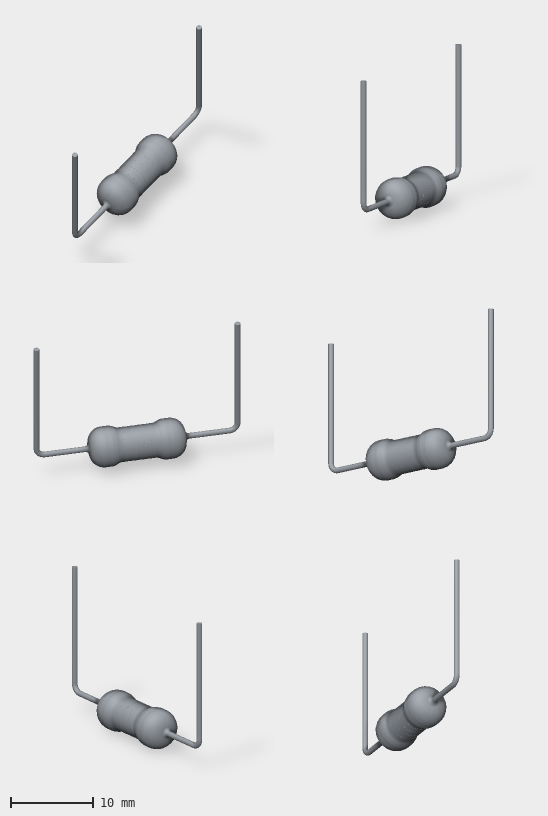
import cadquery as cq
import math

overall_length = 25.7
overall_height = 18.6
lead_radius = 0.7 / 2
bend_radius = 1.05

crown_radius = 5.0 / 2
neck_radius = 4.25 / 2
band_radius = 4.27 / 2
neck_end = 1.98
crown_start = 3.42
crown_end = 4.21
cap_end = 6.0
flare_radius = 0.5

band_count = 4
band_width = 2 * neck_end / (2 * band_count - 1)

flare_base_radius = lead_radius + flare_radius
lead_top = overall_height - crown_radius
lead_offset = overall_length / 2 - lead_radius
shoulder_middle = ((neck_radius + crown_radius) / 2, (neck_end + crown_start) / 2)


def body_end():
    """Revolved +Y end of the body, from the neck to the flare; profile x is radius, y is length."""
    flare_end = cap_end + flare_radius
    overlap_start = neck_end - band_width
    flare_inset = flare_radius * math.sqrt(0.5)
    flare_middle = (flare_base_radius - flare_inset, flare_end - flare_inset)
    profile = (
        cq.Workplane("XY")
        .moveTo(0, overlap_start)
        .lineTo(neck_radius, overlap_start)
        .lineTo(neck_radius, neck_end)
        .tangentArcPoint(shoulder_middle, relative=False)
        .tangentArcPoint((crown_radius, crown_start), relative=False)
        .lineTo(crown_radius, crown_end)
        .tangentArcPoint((flare_base_radius, cap_end), relative=False)
        .threePointArc(flare_middle, (lead_radius, flare_end))
        .lineTo(0, flare_end)
        .close()
    )
    return profile.revolve(360, (0, 0, 0), (0, 1, 0))


def ring(radius, start, width):
    """Solid disc about the body axis, reaching from the given Y towards +Y."""
    return cq.Workplane("XZ", origin=(0, start, 0)).circle(radius).extrude(-width)


def lead():
    """Wire along the body axis on the +Y side, then bent up."""
    path = (
        cq.Workplane("YZ")
        .moveTo(crown_end, 0)
        .lineTo(lead_offset - bend_radius, 0)
        .tangentArcPoint((lead_offset, bend_radius), relative=False)
        .lineTo(lead_offset, lead_top)
    )
    return cq.Workplane("XZ", origin=(0, crown_end, 0)).circle(lead_radius).sweep(path)


end_with_lead = body_end().union(lead())
neck = ring(neck_radius, -neck_end, 2 * neck_end)
result = neck.union(end_with_lead).union(end_with_lead.mirror("XZ"))

for index in range(band_count):
    band_start = -neck_end + 2 * index * band_width
    result = result.union(ring(band_radius, band_start, band_width))